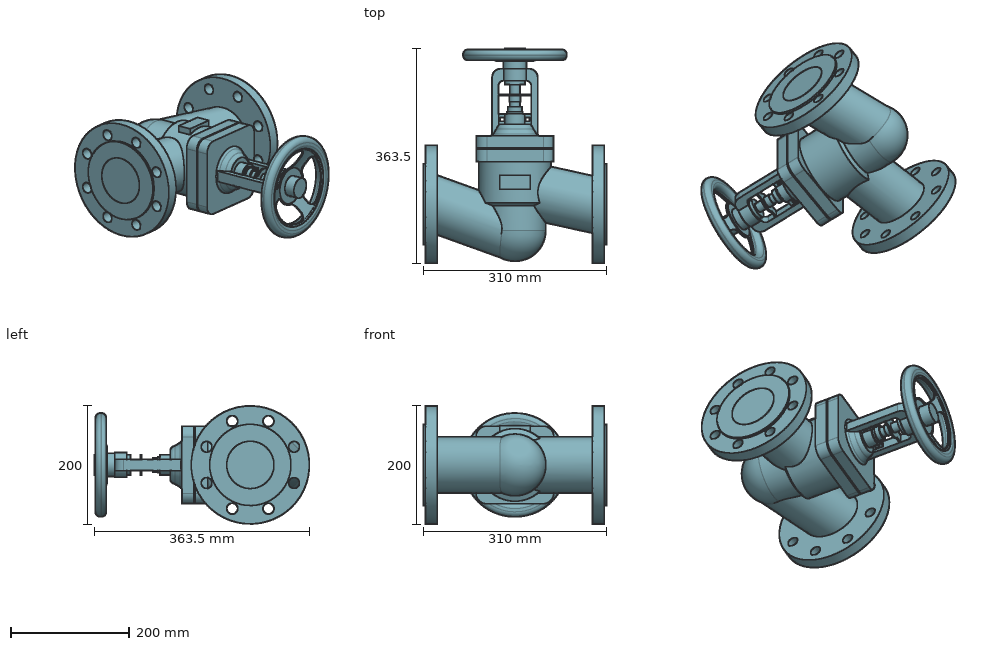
import cadquery as cq
import math


end_to_end_length = 310.0
end_face_x = end_to_end_length / 2
raised_face_height = 3.5
raised_face_radius = 68.7
flange_thickness = 20.5
flange_radius = 100.0
flange_outer_x = end_face_x - raised_face_height
flange_inner_x = flange_outer_x - flange_thickness
bolt_count = 8
bolt_circle_radius = 80.0
bolt_hole_radius = 9.0
bore_radius = 40.0
bore_recess = 0.5

pipe_radius = 47.5
inlet_start_x = -134.0
inlet_angle = -19.8
outlet_start_x = 131.0
outlet_angle = 180 - 12.4

elbow_radius = 52.5
elbow_y = -44.0
bowl_radius = 61.5
bowl_taper_height = 4.7
bowl_bottom_y = 2.5

joint_width = 131.2
joint_corner_radius = 17.8
joint_body_bottom_y = 72.5
joint_body_top_y = 93.5
gasket_radius = 51.0
joint_bonnet_bottom_y = 95.5
joint_bonnet_top_y = 115.5

plate_width = 52.0
plate_bottom_y = 25.5
plate_top_y = 49.5
plate_front_z = 66.5

dome_foot_radius = 40.7
dome_base_radius = 37.5
dome_base_y = 119.2
dome_shoulder_radius = 32.5
dome_shoulder_y = 128.0
dome_shoulder_round = 11.0
dome_top_radius = 25.8
dome_top_y = 135.5

yoke_width = 77.5
yoke_leg_width = 11.3
yoke_depth = 19.0
yoke_top_y = 229.5
yoke_bridge_bottom_y = 208.5
yoke_outer_corner_radius = 15.0
yoke_inner_corner_radius = 8.0
yoke_inner_width = yoke_width - 2 * yoke_leg_width

web_top_y = 153.0
web_depth = 7.3
web_hole_size = 6.0
web_hole_x = 21.5
web_hole_y = 143.5

guide_bottom_y = 183.5
guide_thickness = 2.5
guide_radius = 17.5
guide_arm_height = 18.0

gland_radius = 17.5
gland_rim_radius = 13.5
gland_rim_top_y = 156.5
gland_collar_radius = 12.5
gland_collar_top_y = 165.0
stem_radius = 8.7
stem_sleeve_radius = 9.8
stem_sleeve_bottom_y = 173.5
bush_radius = 17.5
bush_bottom_y = 202.5
yoke_boss_radius = 21.0
wheel_spacer_radius = 20.0

wheel_mid_y = 252.5
rim_outer_radius = 88.0
rim_inner_radius = 64.5
rim_height = 19.0
rim_round = 9.0
hub_plate_radius = 31.3
hub_bottom_y = 242.0
hub_top_radius = 17.5
hub_top_y = 263.5
dish_edge_y = 258.8
dish_thickness = 2.0
spoke_count = 3
spoke_width = 23.3
opening_inner_radius = 33.5
opening_hub_corner_radius = 18.0
opening_rim_corner_radius = 9.0

overlap = 3.5


def disc(radius, bottom_y, top_y):
    """Round disc on the stem axis."""
    return cq.Workplane("XZ", origin=(0, bottom_y, 0)).circle(radius).extrude(bottom_y - top_y)


def flange_disc(radius, start_x, end_x):
    """Round disc on the pipeline axis."""
    return cq.Workplane("YZ", origin=(start_x, 0, 0)).circle(radius).extrude(end_x - start_x)


def pipe_flange(side):
    """Flange with a raised face, at the -X end (side = -1) or the +X end (side = 1)."""
    flange = flange_disc(flange_radius, side * flange_inner_x, side * flange_outer_x)
    flange = flange.union(flange_disc(raised_face_radius, side * flange_outer_x, side * end_face_x))
    flange = flange.cut(flange_disc(bore_radius, side * (end_face_x - bore_recess), side * end_face_x))
    holes = (
        cq.Workplane("YZ", origin=(side * flange_inner_x, 0, 0))
        .polarArray(bolt_circle_radius, 180 / bolt_count, 360, bolt_count)
        .circle(bolt_hole_radius)
        .extrude(side * flange_thickness)
    )
    return flange.cut(holes)


def inclined_pipe(start_x, angle):
    """Pipe crossing the pipeline axis at start_x and running to the stem axis, trimmed inside the flange."""
    direction = cq.Vector(math.cos(math.radians(angle)), math.sin(math.radians(angle)), 0)
    run_back = pipe_radius
    length = run_back + abs(start_x / direction.x)
    origin = cq.Vector(start_x, 0, 0) - direction * run_back
    pipe = cq.Workplane("XY").add(cq.Solid.makeCylinder(pipe_radius, length, origin, direction))
    trim_length = 2 * flange_inner_x + overlap
    between_flanges = cq.Workplane("XY").box(trim_length, 4 * flange_radius, 2 * flange_radius)
    return pipe.intersect(between_flanges)


def body():
    """Bowl with a tapered underside, on a neck that ends in a spherical elbow."""
    taper_bottom_y = bowl_bottom_y - bowl_taper_height
    profile = (
        cq.Workplane("XY")
        .moveTo(0, elbow_y - elbow_radius)
        .radiusArc((elbow_radius, elbow_y), -elbow_radius)
        .lineTo(elbow_radius, taper_bottom_y)
        .lineTo(bowl_radius, bowl_bottom_y)
        .lineTo(bowl_radius, joint_body_bottom_y)
        .lineTo(0, joint_body_bottom_y)
        .close()
    )
    return profile.revolve(360, (0, 0, 0), (0, 1, 0))


def joint_plate(bottom_y, top_y):
    """Square plate with rounded corners."""
    base = cq.Workplane("XZ", origin=(0, bottom_y, 0))
    plate = base.rect(joint_width, joint_width).extrude(bottom_y - top_y)
    return plate.edges("|Y").fillet(joint_corner_radius)


def name_plate():
    """Plain pad standing on the bowl."""
    height = plate_top_y - plate_bottom_y
    pad = cq.Workplane("XY").box(plate_width, height, plate_front_z, centered=(True, False, False))
    return pad.translate((0, plate_bottom_y, 0))


def dome():
    """Bonnet dome: flared foot, conical wall and rounded shoulder."""
    profile = (
        cq.Workplane("XY")
        .moveTo(0, joint_bonnet_top_y)
        .lineTo(dome_foot_radius, joint_bonnet_top_y)
        .lineTo(dome_base_radius, dome_base_y)
        .lineTo(dome_shoulder_radius, dome_shoulder_y)
        .radiusArc((dome_top_radius, dome_top_y), -dome_shoulder_round)
        .lineTo(0, dome_top_y)
        .close()
    )
    return profile.revolve(360, (0, 0, 0), (0, 1, 0))


def yoke():
    """Inverted U standing on the bonnet plate."""
    def block(width, top_y, corner_radius, depth):
        height = top_y - joint_bonnet_top_y
        arch = cq.Workplane("XY").box(width, height, depth, centered=(True, False, True))
        return arch.edges("|Z and >Y").fillet(corner_radius).translate((0, joint_bonnet_top_y, 0))

    outer = block(yoke_width, yoke_top_y, yoke_outer_corner_radius, yoke_depth)
    window = block(yoke_inner_width, yoke_bridge_bottom_y, yoke_inner_corner_radius, yoke_depth)
    return outer.cut(window)


def gland_web():
    """Thin web joining the gland to the yoke legs, with a square hole on each side."""
    height = web_top_y - joint_bonnet_top_y
    web = cq.Workplane("XY").box(yoke_inner_width, height, web_depth, centered=(True, False, True))
    web = web.translate((0, joint_bonnet_top_y, 0))
    hole_centres = [(-web_hole_x, web_hole_y), (web_hole_x, web_hole_y)]
    hole_outlines = cq.Workplane("XY").pushPoints(hole_centres).rect(web_hole_size, web_hole_size)
    holes = hole_outlines.extrude(web_depth, both=True)
    return web.cut(holes)


def guide_plate():
    """Round plate on the stem with an arm reaching each yoke leg."""
    top_y = guide_bottom_y + guide_thickness
    arms = cq.Workplane("XY").box(yoke_inner_width, guide_thickness, guide_arm_height)
    arms = arms.translate((0, guide_bottom_y + guide_thickness / 2, 0))
    return disc(guide_radius, guide_bottom_y, top_y).union(arms)


def stem_line():
    """Stepped round parts from the gland up to the underside of the handwheel."""
    steps = [
        (gland_radius, dome_top_y - overlap, web_top_y),
        (gland_rim_radius, web_top_y, gland_rim_top_y),
        (gland_collar_radius, gland_rim_top_y, gland_collar_top_y),
        (stem_radius, gland_collar_top_y, bush_bottom_y),
        (stem_sleeve_radius, stem_sleeve_bottom_y, guide_bottom_y),
        (bush_radius, bush_bottom_y, yoke_bridge_bottom_y),
        (yoke_boss_radius, yoke_bridge_bottom_y, yoke_top_y),
        (wheel_spacer_radius, yoke_top_y, hub_bottom_y),
    ]
    parts = disc(*steps[0])
    for step in steps[1:]:
        parts = parts.union(disc(*step))
    return parts


def axis_distance(edge):
    """Distance of an edge's centre from the stem axis."""
    return math.hypot(edge.Center().x, edge.Center().z)


def handwheel():
    """Rounded rim on a conical web, cut away between three spokes."""
    rim = disc(rim_outer_radius, wheel_mid_y - rim_height / 2, wheel_mid_y + rim_height / 2)
    rim = rim.cut(disc(rim_inner_radius, wheel_mid_y - rim_height, wheel_mid_y + rim_height))
    rim = rim.edges("%CIRCLE").fillet(rim_round)

    dish_edge_radius = rim_inner_radius + overlap
    dish = (
        cq.Workplane("XY")
        .moveTo(0, hub_bottom_y)
        .lineTo(hub_plate_radius, hub_bottom_y)
        .lineTo(dish_edge_radius, dish_edge_y)
        .lineTo(dish_edge_radius, dish_edge_y + dish_thickness)
        .lineTo(hub_plate_radius, hub_bottom_y + dish_thickness)
        .lineTo(0, hub_bottom_y + dish_thickness)
        .close()
        .revolve(360, (0, 0, 0), (0, 1, 0))
    )
    openings = disc(rim_inner_radius, hub_bottom_y, hub_top_y)
    openings = openings.cut(disc(opening_inner_radius, hub_bottom_y, hub_top_y))
    for index in range(spoke_count):
        arm = cq.Workplane("XY").box(rim_outer_radius, hub_top_y, spoke_width, centered=(False, False, True))
        openings = openings.cut(arm.rotate((0, 0, 0), (0, 1, 0), index * 360 / spoke_count))
    middle_radius = (opening_inner_radius + rim_inner_radius) / 2
    hub_corners = openings.edges("|Y").filter(lambda edge: axis_distance(edge) < middle_radius)
    openings = hub_corners.fillet(opening_hub_corner_radius)
    rim_corners = openings.edges("|Y").filter(lambda edge: axis_distance(edge) > rim_inner_radius - overlap)
    openings = rim_corners.fillet(opening_rim_corner_radius)
    hub = disc(hub_top_radius, hub_bottom_y, hub_top_y)
    return rim.union(dish.cut(openings)).union(hub)


result = body()
result = result.union(inclined_pipe(inlet_start_x, inlet_angle))
result = result.union(inclined_pipe(outlet_start_x, outlet_angle))
result = result.union(name_plate())
for side in (-1, 1):
    result = result.union(pipe_flange(side))
result = result.union(joint_plate(joint_body_bottom_y, joint_body_top_y))
result = result.union(disc(gasket_radius, joint_body_top_y, joint_bonnet_bottom_y))
result = result.union(joint_plate(joint_bonnet_bottom_y, joint_bonnet_top_y))
result = result.union(dome())
result = result.union(yoke())
result = result.union(gland_web())
result = result.union(guide_plate())
result = result.union(stem_line())
result = result.union(handwheel())